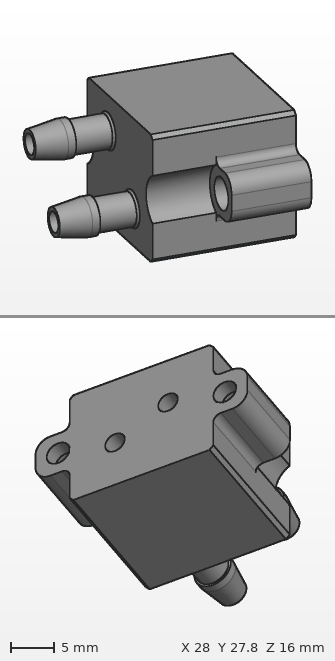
import cadquery as cq

block_width = 18.98
block_depth = 18.0
block_height = 16.0
block_chamfer = 0.5

overall_width = 28.0
ear_height = 6.0
ear_depth = 10.02
ear_corner_radius = 2.0
ear_root_radius = 1.0
ear_front = block_depth - ear_depth

screw_offset = 11.0
screw_hole_diameter = 3.0
counterbore_diameter = 4.03
counterbore_depth = 8.0
channel_radius = 3.35

port_offset = 3.5
shaft_radius = 2.1
collar_radius = 2.32
collar_length = 0.3
ridge_radius = 2.4
ridge_length = 1.0
tip_radius = 1.8
barb_length = 9.8
shaft_length = 4.98

overlap = 0.28

bore_radius = 1.3
passage_shift = 1.93
passage_depth = block_depth / 2


def cylinder_along_y(x, z, radius, start, length):
    return cq.Workplane("XY").add(
        cq.Solid.makeCylinder(radius, length, cq.Vector(x, start, z), cq.Vector(0, 1, 0))
    )


def make_block():
    block = cq.Workplane("XY").box(block_width, block_depth, block_height, centered=(True, False, True))
    return block.edges("|Y").chamfer(block_chamfer)


def make_ears():
    """Bar through the block whose rounded ends form both ears, with flared roots."""
    bar = (
        cq.Workplane("XY")
        .box(overall_width, ear_depth, ear_height, centered=(True, False, True))
        .edges("|Y")
        .fillet(ear_corner_radius)
    )
    core = cq.Workplane("XY").box(
        block_width, ear_depth, block_height - 2 * block_chamfer, centered=(True, False, True)
    )
    root_edges = cq.selectors.BoxSelector(
        (-block_width / 2 - overlap, -overlap, -ear_height / 2 - overlap),
        (block_width / 2 + overlap, ear_depth + overlap, ear_height / 2 + overlap),
    )
    ears = bar.union(core).edges("|Y").edges(root_edges).fillet(ear_root_radius)
    return ears.translate((0, ear_front, 0))


def make_barb(x, z):
    """Solid of revolution sketched as (radius, distance out of the front face)."""
    ridge_end = shaft_length + ridge_length
    profile = [
        (0, -overlap),
        (collar_radius, -overlap),
        (collar_radius, 0),
        (shaft_radius, collar_length),
        (shaft_radius, shaft_length),
        (ridge_radius, shaft_length),
        (ridge_radius, ridge_end),
        (tip_radius, barb_length),
        (0, barb_length),
    ]
    outline = cq.Workplane("XY").polyline([(radius, -out) for radius, out in profile]).close()
    return outline.revolve(360, (0, 0), (0, 1)).translate((x, 0, z))


result = make_block().union(make_ears())

for side in (-1, 1):
    screw_x = side * screw_offset
    result = result.cut(cylinder_along_y(screw_x, 0, channel_radius, 0, ear_front))
    result = result.cut(cylinder_along_y(screw_x, 0, screw_hole_diameter / 2, ear_front, ear_depth))
    result = result.cut(cylinder_along_y(screw_x, 0, counterbore_diameter / 2, ear_front, counterbore_depth))

for side in (-1, 1):
    port_x = side * port_offset
    port_z = -side * port_offset
    passage_z = port_z + side * passage_shift
    passage_start = block_depth - passage_depth
    result = result.union(make_barb(port_x, port_z))
    result = result.cut(cylinder_along_y(port_x, port_z, bore_radius, -barb_length, barb_length + passage_start))
    result = result.cut(cylinder_along_y(port_x, passage_z, bore_radius, passage_start, passage_depth))